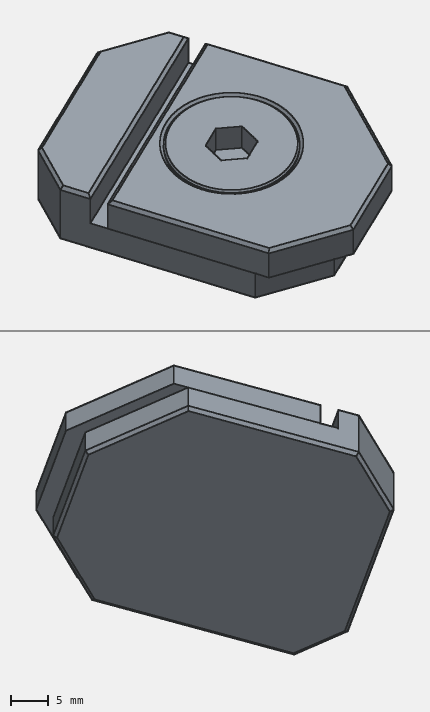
import cadquery as cq

LENGTH = 44.15
WIDTH = 32.75
HEIGHT = 10.0
SPLIT_HEIGHT = HEIGHT / 2
EDGE_CHAMFER = 0.5

JAW_LENGTH = 9.98
SLOT_WIDTH = 2.45
PLATE_OVERHANG = 2.5

LEFT_FRONT_CUT = 5.65
LEFT_BACK_CUT = 7.15
PLATE_FRONT_CUT = 8.47
PLATE_BACK_CUT = 11.35
CUT_REDUCTION = 0.55

HEAD_DIAMETER = 18.0
HEAD_CHAMFER = 0.25
HEAD_X = 1.1
HEAD_Y = 0.15
HEX_ACROSS_FLATS = 6.0
HEX_DEPTH = 4.0

LEFT = -LENGTH / 2
RIGHT = LENGTH / 2
FRONT = -WIDTH / 2
BACK = WIDTH / 2
JAW_RIGHT = LEFT + JAW_LENGTH
PLATE_LEFT = JAW_RIGHT + SLOT_WIDTH
BASE_RIGHT = RIGHT - PLATE_OVERHANG


def cut_corner_block(x_min, x_max, z_min, z_max, left_cuts=(0, 0), right_cuts=(0, 0)):
    """Block across the full width; each pair gives the front and back corner cuts of one end."""
    length = x_max - x_min
    block = (
        cq.Workplane("XY", origin=((x_min + x_max) / 2, 0, z_min))
        .rect(length, WIDTH)
        .extrude(z_max - z_min)
    )
    for x, inward, cuts in ((x_min, 1, left_cuts), (x_max, -1, right_cuts)):
        for y, toward_middle, leg in ((FRONT, 1, cuts[0]), (BACK, -1, cuts[1])):
            if leg > 0:
                corner = (
                    cq.Workplane("XY", origin=(0, 0, z_min))
                    .polyline([(x, y), (x + inward * leg, y), (x, y + toward_middle * leg)])
                    .close()
                    .extrude(z_max - z_min)
                )
                block = block.cut(corner)
    return block


def make_base():
    """Floor under the plate with a full-height jaw at its left end."""
    left_cuts = (LEFT_FRONT_CUT, LEFT_BACK_CUT)
    right_cuts = (PLATE_FRONT_CUT - CUT_REDUCTION, PLATE_BACK_CUT - CUT_REDUCTION)
    floor = cut_corner_block(LEFT, BASE_RIGHT, 0, SPLIT_HEIGHT, left_cuts, right_cuts)
    floor = floor.faces("<Z").chamfer(EDGE_CHAMFER)
    jaw = cut_corner_block(LEFT, JAW_RIGHT, SPLIT_HEIGHT, HEIGHT, left_cuts)
    jaw = jaw.faces(">Z").chamfer(EDGE_CHAMFER)
    return floor.union(jaw)


def make_clamp_plate():
    """Plate with a chamfered through hole for the screw head."""
    plate = cut_corner_block(
        PLATE_LEFT, RIGHT, SPLIT_HEIGHT, HEIGHT, right_cuts=(PLATE_FRONT_CUT, PLATE_BACK_CUT)
    )
    head_hole = (
        cq.Workplane("XY", origin=(HEAD_X, HEAD_Y, SPLIT_HEIGHT))
        .circle(HEAD_DIAMETER / 2)
        .extrude(HEIGHT - SPLIT_HEIGHT)
    )
    return plate.cut(head_hole).faces(">Z").chamfer(EDGE_CHAMFER)


def make_screw_head():
    """Disc standing on the base floor, with a blind hexagon socket in its top."""
    head = (
        cq.Workplane("XY", origin=(HEAD_X, HEAD_Y, SPLIT_HEIGHT))
        .circle(HEAD_DIAMETER / 2)
        .extrude(HEIGHT - SPLIT_HEIGHT)
        .faces(">Z")
        .chamfer(HEAD_CHAMFER)
    )
    socket = (
        cq.Workplane("XY", origin=(HEAD_X, HEAD_Y, HEIGHT - HEX_DEPTH))
        .polygon(6, HEX_ACROSS_FLATS, circumscribed=True)
        .extrude(HEX_DEPTH)
    )
    return head.cut(socket)


base = make_base()
clamp_plate = make_clamp_plate()
screw_head = make_screw_head()

result = cq.Compound.makeCompound([base.val(), clamp_plate.val(), screw_head.val()])